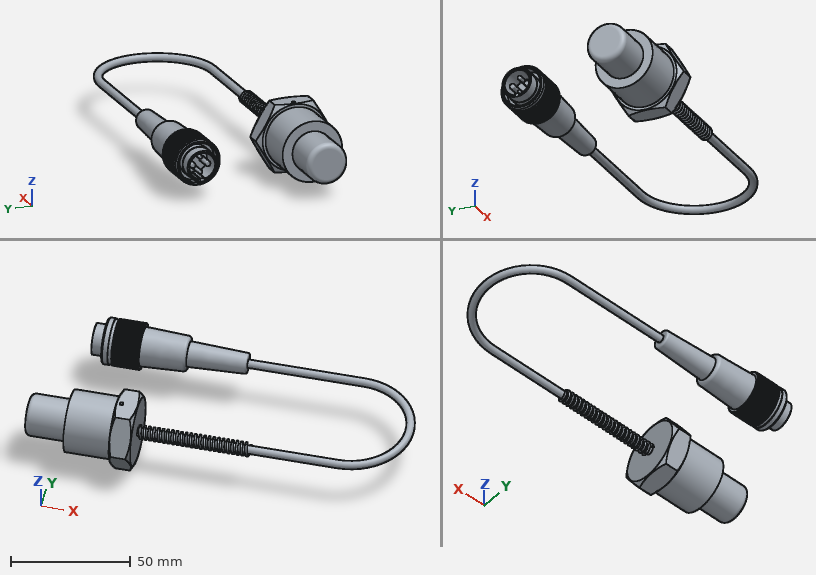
import cadquery as cq
import math

tip_diameter = 18.0
tip_length = 17.9
tip_fillet = 2.2
barrel_diameter = 26.9
hex_start = 37.7
hex_end = 47.0
hex_across_flats = 30.0
hex_chamfer_diameter = 29.4
hex_chamfer_angle = 30
vent_diameter = 1.49
vent_depth = 1.6
vent_x = 40.0

overall_length = 159.8
cable_diameter = 3.7
plug_offset = 49.9
bend_radius = plug_offset / 2
bend_start = overall_length - bend_radius - cable_diameter / 2

spring_outer_diameter = 6.0
wire_diameter = 1.0
spring_length = 47.6
spring_turns = 24
spring_pitch = spring_length / spring_turns
spring_start_angle = -90

shell_start = 17.0
shell_diameter = 13.6
shell_bore_diameter = 11.5
shell_bore_depth = 9.6
bore_end = shell_start + shell_bore_depth
shell_rim_chamfer = 0.3
collar_start = 22.2
collar_diameter = 13.9
key_width = 1.9
key_inner_radius = 5.3
sleeve_start_diameter = 17.0
sleeve_end_diameter = 15.2
sleeve_end = 57.5
sleeve_fillet = 1.5
tail_start_diameter = 11.0
tail_end_diameter = 9.0
tail_end = 83.0
tail_fillet = 0.8

ring_start = 21.7
ring_end = 37.9
ring_diameter = 20.0
ring_front_chamfer = 0.6
ring_rear_chamfer = 0.3
ring_recess_diameter = 17.3
ring_recess_depth = 4.0
recess_end = ring_start + ring_recess_depth
groove_start = 24.6
groove_width = 1.6
groove_depth = 0.3
knurl_start = groove_start + groove_width
knurl_depth = 0.3
knurl_teeth = 90

pin_count = 4
pin_circle_radius = 3.4
pin_recess = 2.0
wide_pin_diameter = 2.4
narrow_pin_diameter = 1.8
pin_tip_fillet = 0.5


def rod(diameter, start, end, y=0.0, z=0.0):
    """Cylinder along X between two X positions."""
    return cq.Workplane("YZ", origin=(start, y, z)).circle(diameter / 2).extrude(end - start)


def taper(start_diameter, end_diameter, start, end):
    """Truncated cone along X on the plug axis."""
    return (
        cq.Workplane("YZ", origin=(start, plug_offset, 0))
        .circle(start_diameter / 2)
        .workplane(offset=end - start)
        .circle(end_diameter / 2)
        .loft()
    )


def make_hexagon():
    """Hexagon with flats on top and bottom, conically chamfered corners and a vent in the top flat."""
    across_corners = hex_across_flats / math.cos(math.pi / 6)
    prism = (
        cq.Workplane("YZ", origin=(hex_start, 0, 0))
        .polygon(6, across_corners)
        .extrude(hex_end - hex_start)
    )
    chamfer_radial = (across_corners - hex_chamfer_diameter) / 2
    chamfer_axial = chamfer_radial * math.tan(math.radians(hex_chamfer_angle))
    envelope = rod(across_corners, hex_start, hex_end)
    envelope = envelope.faces("<X or >X").chamfer(chamfer_axial, chamfer_radial)
    vent = (
        cq.Workplane("XY", origin=(vent_x, 0, hex_across_flats / 2))
        .circle(vent_diameter / 2)
        .extrude(-vent_depth)
    )
    return prism.intersect(envelope).cut(vent)


def make_sensor():
    """Turned sensor body ending in a hexagon, with a rounded tip."""
    tip = rod(tip_diameter, 0, tip_length).faces("<X").edges().fillet(tip_fillet)
    barrel = rod(barrel_diameter, tip_length, hex_start)
    return tip.union(barrel).union(make_hexagon())


def make_cable():
    """Cable from the hexagon, around the bend, to the end of the boot."""
    path = (
        cq.Workplane("XY")
        .moveTo(hex_end, 0)
        .lineTo(bend_start, 0)
        .threePointArc((bend_start + bend_radius, bend_radius), (bend_start, plug_offset))
        .lineTo(tail_end, plug_offset)
    )
    return cq.Workplane("YZ", origin=(hex_end, 0, 0)).circle(cable_diameter / 2).sweep(path)


def make_spring():
    """Round-wire coil starting at the rear face of the hexagon."""
    coil_radius = (spring_outer_diameter - wire_diameter) / 2
    first_coil = hex_end + wire_diameter / 2
    helix = cq.Wire.makeHelix(
        spring_pitch,
        spring_length,
        coil_radius,
        center=cq.Vector(first_coil, 0, 0),
        dir=cq.Vector(1, 0, 0),
    )
    start = helix.startPoint()
    section = cq.Plane(origin=start, normal=helix.tangentAt(0))
    coil = cq.Workplane(section).circle(wire_diameter / 2).sweep(cq.Workplane(helix), isFrenet=True)
    return coil.rotate((0, 0, 0), (1, 0, 0), spring_start_angle)


def make_plug():
    """Hollow keyed shell with a two-step tapered boot behind it."""
    shell = rod(shell_diameter, shell_start, collar_start, plug_offset)
    shell = shell.union(rod(collar_diameter, collar_start, ring_end, plug_offset))
    bore = rod(shell_bore_diameter, shell_start, bore_end, plug_offset)
    shell = shell.cut(bore)
    mouth = taper(
        shell_bore_diameter + 2 * shell_rim_chamfer,
        shell_bore_diameter,
        shell_start,
        shell_start + shell_rim_chamfer,
    )
    key_outer_radius = (shell_diameter + shell_bore_diameter) / 4
    key_height = key_outer_radius - key_inner_radius
    key = cq.Workplane("XY", origin=(shell_start, plug_offset, -key_outer_radius)).box(
        shell_bore_depth, key_width, key_height, centered=(False, True, False)
    )
    sleeve = taper(sleeve_start_diameter, sleeve_end_diameter, ring_end, sleeve_end)
    sleeve = sleeve.faces(">X").edges().fillet(sleeve_fillet)
    tail = taper(tail_start_diameter, tail_end_diameter, sleeve_end, tail_end)
    tail = tail.faces(">X").edges().fillet(tail_fillet)
    return shell.cut(mouth).union(key).union(sleeve).union(tail)


def make_knurl_ridges():
    """Straight-toothed cylinder over the length of the grip."""
    corners = []
    for i in range(knurl_teeth):
        for half_step, radius in ((0, ring_diameter / 2), (1, ring_diameter / 2 - knurl_depth)):
            angle = math.pi * (2 * i + half_step) / knurl_teeth
            corners.append((radius * math.cos(angle), radius * math.sin(angle)))
    section = cq.Workplane("YZ", origin=(knurl_start, plug_offset, 0)).polyline(corners).close()
    return section.extrude(ring_end - knurl_start)


def make_ring():
    """Coupling ring: plain collar, thin groove and a straight-knurled grip."""
    collar = rod(ring_diameter, ring_start, groove_start, plug_offset)
    collar = collar.faces("<X").edges().chamfer(ring_front_chamfer)
    neck = rod(ring_diameter - 2 * groove_depth, groove_start, knurl_start, plug_offset)
    blank = rod(ring_diameter, knurl_start, ring_end, plug_offset)
    blank = blank.faces(">X").edges().chamfer(ring_rear_chamfer)
    grip = make_knurl_ridges().intersect(blank)
    recess = rod(ring_recess_diameter, ring_start, recess_end, plug_offset)
    bore = rod(collar_diameter, recess_end, ring_end, plug_offset)
    return collar.union(neck).union(grip).cut(recess).cut(bore)


def make_pin(diameter, angle):
    """Round-nosed contact pin standing on the floor of the shell bore."""
    y = plug_offset + pin_circle_radius * math.cos(angle)
    z = pin_circle_radius * math.sin(angle)
    pin = rod(diameter, shell_start + pin_recess, bore_end, y, z)
    return pin.faces("<X").edges().fillet(pin_tip_fillet)


sensor = make_sensor()
cable = make_cable()
spring = make_spring()
plug = make_plug()
coupling_ring = make_ring()

pins = []
for quarter in range(pin_count):
    pin_diameter = narrow_pin_diameter if quarter % 2 else wide_pin_diameter
    pins.append(make_pin(pin_diameter, 2 * math.pi * quarter / pin_count).val())

result = cq.Compound.makeCompound(
    [sensor.val(), cable.val(), spring.val(), plug.val(), coupling_ring.val(), *pins]
)